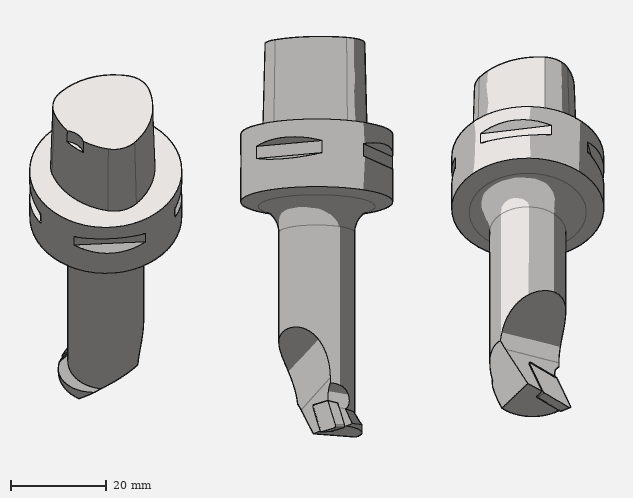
import cadquery as cq
import math


shank_length = 19.0
shank_width = 22.0
arc_centre_offset = 5.4
shank_taper = math.degrees(math.atan(1 / 40))
corner_angles = (90, 210, 330)

notch_depth = 3.4
notch_radius = 4.2
notch_centre_y = -13.2

collar_radius = 16.0
collar_height = 14.5
groove_floor_distance = 14.1
groove_centre_z = -5.9
groove_floor_width = 2.6
groove_mouth_width = 4.6
groove_angles = (45, 135, 225, 315)

bar_radius = 8.0
neck_cone_angle = 15.0
neck_fillet_radius = 5.8

head_top_z = -60.0
head_bottom_z = -64.25
head_clearance_radius = 9.1
head_clearance_centre_x = -1.2
bevel_start_z = -56.4
bevel_angle = 46.0

tip_x = -11.0
tip_z = -65.0
insert_edge = 7.75
insert_angle = 55.0
insert_thickness = 2.38
insert_nose_radius = 0.4
insert_clearance = 7.0
end_edge_angle = 3.0
side_edge_angle = end_edge_angle + insert_angle
rake_turn = 4.2

flute_radius = 14.0
flute_tangent_z = -56.1
flute_skew = 16.4

relief_radius = 3.9
relief_gap = 0.5
relief_along_edge = 6.6
relief_reach = 12.0

margin = 20.0


def polar(radius, angle):
    return (radius * math.cos(math.radians(angle)), radius * math.sin(math.radians(angle)))


nose_setback = insert_nose_radius / math.sin(math.radians(insert_angle / 2))
setback_x, setback_z = polar(nose_setback, (end_edge_angle + side_edge_angle) / 2)
sharp_x = tip_x + insert_nose_radius - setback_x
sharp_z = tip_z + insert_nose_radius - setback_z


def make_shank():
    centre_spacing = arc_centre_offset * math.sqrt(3)
    corner_radius = (shank_width - centre_spacing) / 2
    tip_distance = arc_centre_offset + corner_radius
    flank_distance = shank_width - tip_distance

    def joint(corner, side):
        centre_x, centre_y = polar(arc_centre_offset, corner)
        reach_x, reach_y = polar(corner_radius, corner + side * 30)
        return (centre_x + reach_x, centre_y + reach_y)

    outline = cq.Workplane("XY").moveTo(*joint(corner_angles[0], -1))
    for corner in corner_angles:
        outline = outline.threePointArc(polar(tip_distance, corner), joint(corner, 1))
        outline = outline.threePointArc(polar(flank_distance, corner + 60), joint(corner + 120, -1))
    shank = outline.close().extrude(shank_length, taper=shank_taper)
    notch = (
        cq.Workplane("XY", origin=(0, notch_centre_y, shank_length - notch_depth))
        .circle(notch_radius)
        .extrude(notch_depth + margin)
    )
    return shank.cut(notch)


def make_collar_and_bar():
    slope = math.radians(neck_cone_angle)
    fillet_top_r = bar_radius + neck_fillet_radius * (1 - math.sin(slope))
    fillet_top_z = -collar_height - (collar_radius - fillet_top_r) * math.tan(slope)
    fillet_centre_r = bar_radius + neck_fillet_radius
    fillet_centre_z = fillet_top_z - neck_fillet_radius * math.cos(slope)
    arc_middle_angle = 180 - (90 - neck_cone_angle) / 2
    arc_middle_r, arc_middle_z = polar(neck_fillet_radius, arc_middle_angle)
    profile = (
        cq.Workplane("XZ")
        .lineTo(collar_radius, 0)
        .lineTo(collar_radius, -collar_height)
        .lineTo(fillet_top_r, fillet_top_z)
        .threePointArc(
            (fillet_centre_r + arc_middle_r, fillet_centre_z + arc_middle_z),
            (bar_radius, fillet_centre_z),
        )
        .lineTo(bar_radius, head_top_z)
        .lineTo(0, head_top_z)
        .close()
    )
    return profile.revolve(360, (0, 0, 0), (0, 1, 0))


def make_gripper_groove(angle):
    depth = collar_radius - groove_floor_distance
    flare = (groove_mouth_width - groove_floor_width) / 2 / depth
    outer = collar_radius + depth
    outer_half = groove_mouth_width / 2 + flare * depth
    floor_half = groove_floor_width / 2
    return (
        cq.Workplane("XZ", origin=(0, 0, groove_centre_z))
        .polyline([
            (groove_floor_distance, -floor_half),
            (outer, -outer_half),
            (outer, outer_half),
            (groove_floor_distance, floor_half),
        ])
        .close()
        .extrude(collar_radius, both=True)
        .rotate((0, 0, 0), (0, 0, 1), angle)
    )


def make_head():
    height = head_top_z - head_bottom_z
    bottom_radius = bar_radius + height / math.tan(math.radians(side_edge_angle))
    cone = (
        cq.Workplane("XZ")
        .polyline([
            (0, head_top_z),
            (bar_radius, head_top_z),
            (bottom_radius, head_bottom_z),
            (0, head_bottom_z),
        ])
        .close()
        .revolve(360, (0, 0, 0), (0, 1, 0))
    )
    clearance = (
        cq.Workplane("XY", origin=(head_clearance_centre_x, 0, head_bottom_z))
        .circle(head_clearance_radius)
        .extrude(height)
    )
    return cone.intersect(clearance)


def make_bevel_cutter():
    drop = margin * math.tan(math.radians(bevel_angle))
    return (
        cq.Workplane("XZ")
        .polyline([
            (bar_radius + margin, bevel_start_z + drop),
            (bar_radius + margin, bevel_start_z - drop),
            (bar_radius - margin, bevel_start_z - drop),
        ])
        .close()
        .extrude(margin, both=True)
    )


def make_flute_cutter():
    skew = math.radians(flute_skew)
    along = (math.sin(skew), 0, math.cos(skew))
    across = (-math.cos(skew), 0, math.sin(skew))
    arc_mid_x, arc_mid_y = polar(flute_radius, -45)
    cutter = (
        cq.Workplane(cq.Plane(origin=(0, 0, flute_tangent_z), xDir=along, normal=across))
        .moveTo(-margin, 0)
        .lineTo(0, 0)
        .threePointArc((arc_mid_x, flute_radius + arc_mid_y), (flute_radius, flute_radius))
        .lineTo(-margin, flute_radius)
        .close()
        .extrude(margin, both=True)
    )
    return cutter.rotate((-bar_radius, 0, 0), (-bar_radius, 0, 1), rake_turn)


def make_relief_cutter():
    edge_x, edge_z = polar(1, side_edge_angle)
    lean = math.radians(insert_clearance)
    axis = (edge_z * math.sin(lean), -math.cos(lean), -edge_x * math.sin(lean))
    plane = cq.Plane(origin=(sharp_x, 0, sharp_z), xDir=(edge_x, 0, edge_z), normal=axis)
    centre_offset = relief_radius - relief_gap
    round_end = (
        cq.Workplane(plane)
        .center(relief_along_edge, centre_offset)
        .circle(relief_radius)
        .extrude(relief_reach, both=True)
    )
    wall = (
        cq.Workplane(plane)
        .moveTo(relief_along_edge, -relief_gap)
        .lineTo(-margin, -relief_gap)
        .lineTo(-margin, centre_offset)
        .lineTo(relief_along_edge, centre_offset)
        .close()
        .extrude(relief_reach, both=True)
    )
    return round_end.union(wall)


def make_insert():
    end_x, end_z = polar(insert_edge, end_edge_angle)
    side_x, side_z = polar(insert_edge, side_edge_angle)
    rhombus = (
        cq.Workplane("XZ", origin=(sharp_x, 0, sharp_z))
        .polyline([(0, 0), (end_x, end_z), (end_x + side_x, end_z + side_z), (side_x, side_z)])
        .close()
        .extrude(insert_thickness, taper=insert_clearance)
    )
    rounded = rhombus.edges("not(<Y or >Y)").fillet(insert_nose_radius)
    return rounded.rotate((tip_x, 0, 0), (tip_x, 0, 1), rake_turn)


insert = make_insert()

boring_bar = make_collar_and_bar().union(make_shank()).union(make_head())
for groove_angle in groove_angles:
    boring_bar = boring_bar.cut(make_gripper_groove(groove_angle))
boring_bar = boring_bar.cut(make_bevel_cutter())
boring_bar = boring_bar.cut(make_flute_cutter())
boring_bar = boring_bar.cut(make_relief_cutter())
boring_bar = boring_bar.cut(insert)

result = cq.Compound.makeCompound([boring_bar.val(), insert.val()])